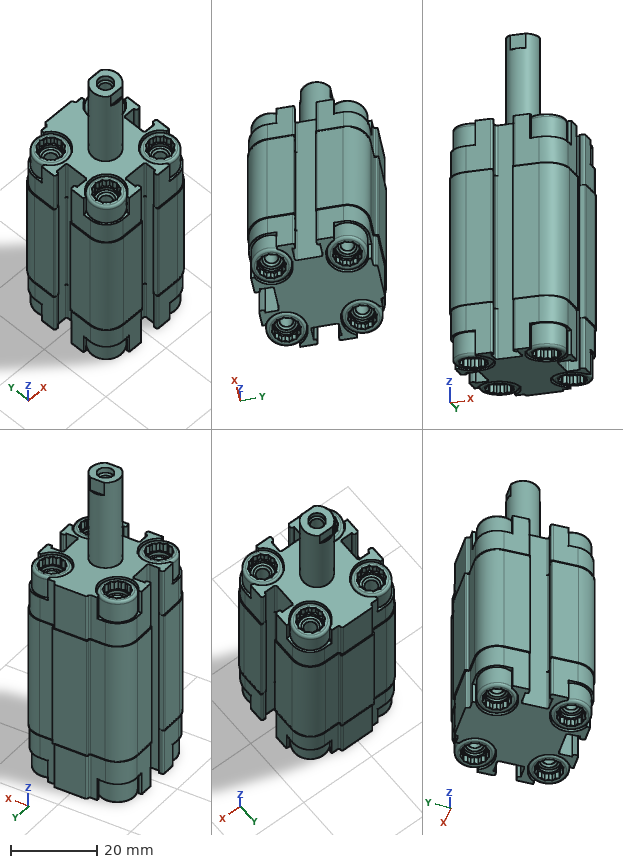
import cadquery as cq
import math

TOTAL_HEIGHT = 82.5
HOUSING_HEIGHT = 58.1
CAP_LENGTH = 12.5
BARREL_LENGTH = HOUSING_HEIGHT - 2 * CAP_LENGTH

BARREL_WIDTH = 29.0
RIB_RISE = 1.0
RIB_HALF_WIDTH = 4.9
CAP_INSET = 0.25
BOLT_OFFSET = 9.0
BARREL_EDGE_FILLET = 0.25
CAP_EDGE_FILLET = 0.45

SLOT_FLOOR = 9.6
SLOT_LIP_INNER = 12.9
SLOT_HALF_WIDTH = 3.3
MOUTH_HALF_WIDTH = 2.55
SLOT_ANGLES = (0, 90, 270)

NOTCH_START = 6.8
NOTCH_DEPTH = 6.0
BOSS_DIAMETER = 9.5
BOSS_POCKET_DIAMETER = 10.0
BOSS_FILLET = 0.75
BOSS_DROP = 0.1
SOCKET_ACROSS_FLATS = 6.0
SOCKET_DEPTH = 2.2
SOCKET_MOUTH_DIAMETER = 6.6
RECESS_DIAMETER = 5.7
RECESS_DEPTH = 3.1
CONE_DIAMETER = 4.3
BOLT_HOLE_DIAMETER = 3.2

ROD_DIAMETER = 8.0
ROD_FLATS = 7.0
ROD_FLAT_LENGTH = 3.6
ROD_BORE_DIAMETER = 4.1
ROD_BORE_DEPTH = 1.5
ROD_DRILL_DIAMETER = 3.2
ROD_DRILL_DEPTH = 8.25
DRILL_TIP_ANGLE = 118.0


def slot_cutter(half_width, length):
    """T-slot open towards -Y."""
    right_side = [
        (SLOT_HALF_WIDTH, -SLOT_FLOOR),
        (SLOT_HALF_WIDTH, -SLOT_LIP_INNER),
        (MOUTH_HALF_WIDTH, -SLOT_LIP_INNER),
        (MOUTH_HALF_WIDTH, -half_width),
    ]
    left_side = [(-x, y) for x, y in reversed(right_side)]
    return cq.Workplane("XY").polyline(right_side + left_side).close().extrude(length)


def is_rounded_edge(edge):
    """True for the long slot and rib edges, except the sharp corners behind the slot lips."""
    middle = edge.Center()
    inner, outer = sorted((abs(middle.x), abs(middle.y)))
    behind_lip = math.isclose(inner, SLOT_HALF_WIDTH) and math.isclose(outer, SLOT_LIP_INNER)
    return inner <= RIB_HALF_WIDTH and not behind_lip


def profile_length(inset, edge_fillet, bottom, length):
    """Length of slotted and ribbed profile whose outer faces are set in by `inset`."""
    half_width = BARREL_WIDTH / 2 - inset
    rib_top = half_width + RIB_RISE
    rib = cq.Workplane("XY").box(
        2 * (RIB_HALF_WIDTH - inset), rib_top, length, centered=(True, False, False)
    )
    profile = (
        cq.Workplane("XY")
        .rect(2 * half_width, 2 * half_width)
        .extrude(length)
        .edges("|Z")
        .fillet(half_width - BOLT_OFFSET)
        .union(rib)
    )
    slot = slot_cutter(half_width, length)
    for angle in SLOT_ANGLES:
        profile = profile.cut(slot.rotate((0, 0, 0), (0, 0, 1), angle))
    profile = profile.edges("|Z").filter(is_rounded_edge).fillet(edge_fillet)
    return profile.translate((0, 0, bottom))


def revolved(points):
    """Solid turned about Z from an outline of (radius, height) points."""
    return cq.Workplane("XZ").polyline(points).close().revolve(360, (0, 0), (0, 1))


def twelve_point_prism(across_flats, height):
    """Prism with the star section of two hexagons turned 30 degrees apart."""
    across_corners = across_flats / math.cos(math.pi / 6)
    hexagon = cq.Workplane("XY").polygon(6, across_corners).extrude(height)
    return hexagon.union(hexagon.rotate((0, 0, 0), (0, 0, 1), 30))


def boss_socket():
    """Twelve-point socket and the stepped recess below it, with the mouth at Z = 0."""
    star = twelve_point_prism(SOCKET_ACROSS_FLATS, SOCKET_DEPTH).translate((0, 0, -SOCKET_DEPTH))
    mouth_radius = SOCKET_MOUTH_DIAMETER / 2
    mouth_depth = mouth_radius - RECESS_DIAMETER / 2
    cone_depth = (CONE_DIAMETER - BOLT_HOLE_DIAMETER) / 2
    turned = revolved(
        [
            (0, 0),
            (mouth_radius, 0),
            (RECESS_DIAMETER / 2, -mouth_depth),
            (RECESS_DIAMETER / 2, -RECESS_DEPTH),
            (CONE_DIAMETER / 2, -RECESS_DEPTH),
            (BOLT_HOLE_DIAMETER / 2, -RECESS_DEPTH - cone_depth),
            (0, -RECESS_DEPTH - cone_depth),
        ]
    )
    return star.union(turned)


def corner_notch():
    """Square corner cut at the top of the housing, in the +X +Y corner."""
    size = BARREL_WIDTH / 2 - NOTCH_START
    return cq.Workplane("XY").box(size, size, NOTCH_DEPTH, centered=False).translate(
        (NOTCH_START, NOTCH_START, HOUSING_HEIGHT - NOTCH_DEPTH)
    )


def corner_cylinder(diameter, height):
    """Cylinder standing on the notch floor, about the bolt axis of the +X +Y corner."""
    cylinder = cq.Workplane("XY").circle(diameter / 2).extrude(height)
    return cylinder.translate((BOLT_OFFSET, BOLT_OFFSET, HOUSING_HEIGHT - NOTCH_DEPTH))


def finish_top_corners(housing):
    """Notch each top corner and set a filleted boss with a socket into it."""
    cutter = corner_notch().union(corner_cylinder(BOSS_POCKET_DIAMETER, NOTCH_DEPTH))
    boss = corner_cylinder(BOSS_DIAMETER, NOTCH_DEPTH - BOSS_DROP)
    filleted_boss = boss.faces(">Z").edges().fillet(BOSS_FILLET)
    socket = boss_socket().translate((BOLT_OFFSET, BOLT_OFFSET, HOUSING_HEIGHT - BOSS_DROP))
    socketed_boss = filleted_boss.cut(socket)
    for angle in range(0, 360, 90):
        axis = ((0, 0, 0), (0, 0, 1), angle)
        housing = housing.cut(cutter.rotate(*axis)).union(socketed_boss.rotate(*axis))
    return housing


def flip_ends(housing):
    """Swap the top and bottom ends without changing any side."""
    return housing.mirror("XY").translate((0, 0, HOUSING_HEIGHT))


def make_housing():
    """Barrel with its two end caps, corner bosses, bolt holes and rod hole."""
    barrel_top = CAP_LENGTH + BARREL_LENGTH
    housing = profile_length(0, BARREL_EDGE_FILLET, CAP_LENGTH, BARREL_LENGTH)
    for bottom in (0, barrel_top):
        housing = housing.union(profile_length(CAP_INSET, CAP_EDGE_FILLET, bottom, CAP_LENGTH))

    housing = finish_top_corners(housing)
    housing = finish_top_corners(flip_ends(housing))

    bolt_holes = (
        cq.Workplane("XY")
        .rect(2 * BOLT_OFFSET, 2 * BOLT_OFFSET, forConstruction=True)
        .vertices()
        .circle(BOLT_HOLE_DIAMETER / 2)
        .extrude(HOUSING_HEIGHT)
    )
    rod_hole = (
        cq.Workplane("XY", origin=(0, 0, barrel_top))
        .circle(ROD_DIAMETER / 2)
        .extrude(CAP_LENGTH)
    )
    return housing.cut(bolt_holes).cut(rod_hole)


def make_rod():
    """Piston rod seated in the top cap, with wrench flats and a drilled end."""
    rod_length = TOTAL_HEIGHT - HOUSING_HEIGHT + CAP_LENGTH
    rod = cq.Workplane("XY").circle(ROD_DIAMETER / 2).extrude(rod_length)

    tip_blank = (
        cq.Workplane("XY", origin=(0, 0, rod_length - ROD_FLAT_LENGTH))
        .rect(ROD_DIAMETER, ROD_DIAMETER)
        .rect(ROD_DIAMETER, ROD_FLATS)
        .extrude(ROD_FLAT_LENGTH)
    )
    cone_depth = (ROD_BORE_DIAMETER - ROD_DRILL_DIAMETER) / 2
    tip_depth = ROD_DRILL_DIAMETER / 2 / math.tan(math.radians(DRILL_TIP_ANGLE / 2))
    bore = revolved(
        [
            (0, 0),
            (ROD_BORE_DIAMETER / 2, 0),
            (ROD_BORE_DIAMETER / 2, -ROD_BORE_DEPTH),
            (ROD_DRILL_DIAMETER / 2, -ROD_BORE_DEPTH - cone_depth),
            (ROD_DRILL_DIAMETER / 2, -ROD_DRILL_DEPTH),
            (0, -ROD_DRILL_DEPTH - tip_depth),
        ]
    ).translate((0, 0, rod_length))
    return rod.cut(tip_blank).cut(bore).translate((0, 0, HOUSING_HEIGHT - CAP_LENGTH))


housing = make_housing()
rod = make_rod()

result = cq.Compound.makeCompound([housing.val(), rod.val()])